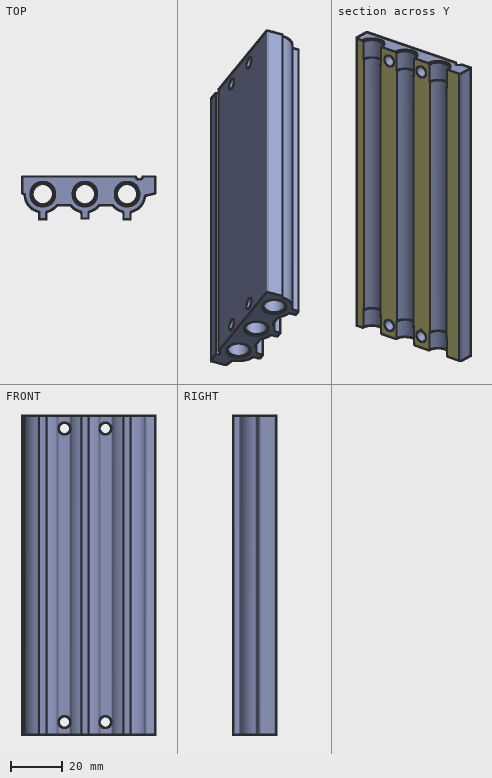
import cadquery as cq

WIDTH = 52.0
DEPTH = 16.8
LENGTH = 124.5

FIRST_BORE_X = 8.1
BORE_PITCH = 16.4
BORE_COUNT = 3
BORE_Y = -7.0
BORE_DIAMETER = 8.0
MOUTH_DIAMETER = 8.6
MOUTH_DEPTH = 8.0
MOUTH_CHAMFER = 0.5
bore_xs = [FIRST_BORE_X + i * BORE_PITCH for i in range(BORE_COUNT)]
middle_bore_x = bore_xs[BORE_COUNT // 2]

WALL_RADIUS = 7.1
RIB_WIDTH = 2.9
MIDDLE_RIB_SETBACK = 0.2

WEB_FRONT_Y = -11.3
SIDE_FACE_FRONT_Y = -6.7
LEFT_LIP_Y = -7.2
RIGHT_LIP_Y = -7.7
LIP_OVERLAP = 0.2

CORNER_RADIUS = 0.5
INSIDE_RADIUS = 0.5

GROOVE_X = 45.7
GROOVE_Y = 0.1
GROOVE_DIAMETER = 2.7

CROSS_HOLE_DIAMETER = 4.5
CROSS_HOLE_SPACING = 15.9
CROSS_HOLE_END_DISTANCE = 5.0


def bar(x_min, x_max, y_min, y_max):
    """Full-length rectangular bar between the given X and Y limits."""
    block = cq.Workplane("XY").box(x_max - x_min, y_max - y_min, LENGTH, centered=False)
    return block.translate((x_min, y_min, 0))


def rod(x, y, diameter):
    """Full-length round bar along Z."""
    return cq.Workplane("XY", origin=(x, y, 0)).circle(diameter / 2).extrude(LENGTH)


def round_long_edges(body, x_min, x_max, y_min, y_max):
    """Fillet the lengthwise inside corners whose X and Y lie within the given limits."""
    region = cq.selectors.BoxSelector((x_min, y_min, 0), (x_max, y_max, LENGTH))
    corners = body.edges("|Z").edges(region)
    return corners.fillet(INSIDE_RADIUS)


def make_back_plate():
    """Plate behind the bore centres, with rounded outer corners and a sloping lip at each side."""
    outline = [
        (0, 0),
        (WIDTH, 0),
        (WIDTH, SIDE_FACE_FRONT_Y),
        (bore_xs[-1] + WALL_RADIUS - LIP_OVERLAP, RIGHT_LIP_Y),
        (bore_xs[-1], RIGHT_LIP_Y),
        (bore_xs[0], LEFT_LIP_Y),
        (bore_xs[0] - WALL_RADIUS + LIP_OVERLAP, LEFT_LIP_Y),
        (0, SIDE_FACE_FRONT_Y),
    ]
    plate = cq.Workplane("XY").polyline(outline).close().extrude(LENGTH)
    return plate.faces("<X or >X").edges("|Z").fillet(CORNER_RADIUS)


def make_ribbed_wall(x, rib_front_y):
    """Half-round wall in front of one bore axis with its rib, blended where the two meet."""
    front_half = bar(x - WALL_RADIUS, x + WALL_RADIUS, -DEPTH, BORE_Y)
    rib = bar(x - RIB_WIDTH / 2, x + RIB_WIDTH / 2, rib_front_y, BORE_Y)
    wall = rod(x, BORE_Y, 2 * WALL_RADIUS).intersect(front_half).union(rib)
    return round_long_edges(wall, x - RIB_WIDTH, x + RIB_WIDTH, BORE_Y - WALL_RADIUS, WEB_FRONT_Y)


def make_body():
    """Back plate, webs and ribbed walls joined, with their inside corners rounded."""
    body = make_back_plate().union(bar(bore_xs[0], bore_xs[-1], WEB_FRONT_Y, BORE_Y))
    for x in bore_xs:
        setback = MIDDLE_RIB_SETBACK if x == middle_bore_x else 0
        body = body.union(make_ribbed_wall(x, -DEPTH + setback))
    web_margin = INSIDE_RADIUS / 2
    body = round_long_edges(
        body, bore_xs[0], bore_xs[-1], WEB_FRONT_Y - web_margin, WEB_FRONT_Y + web_margin
    )
    right_wall_x = bore_xs[-1] + WALL_RADIUS
    body = round_long_edges(
        body, right_wall_x - LIP_OVERLAP, right_wall_x + LIP_OVERLAP, RIGHT_LIP_Y, BORE_Y
    )
    return body


def make_bore(x):
    """Cutting tool for one bore with a wider, chamfered mouth at each end."""
    mouth_radius = MOUTH_DIAMETER / 2
    mouth_profile = [
        (0, 0),
        (mouth_radius + MOUTH_CHAMFER, 0),
        (mouth_radius, MOUTH_CHAMFER),
        (mouth_radius, MOUTH_DEPTH),
        (0, MOUTH_DEPTH),
    ]
    mouth = cq.Workplane("XZ").polyline(mouth_profile).close().revolve(360, (0, 0), (0, 1))
    bottom_mouth = mouth.translate((x, BORE_Y, 0))
    top_mouth = mouth.mirror("XY").translate((x, BORE_Y, LENGTH))
    return rod(x, BORE_Y, BORE_DIAMETER).union(bottom_mouth).union(top_mouth)


def make_cross_hole(x, z):
    """Cutting tool for one hole through the full depth along Y."""
    return cq.Workplane("XZ", origin=(x, 0, z)).circle(CROSS_HOLE_DIAMETER / 2).extrude(DEPTH)


result = make_body()
for x in bore_xs:
    result = result.cut(make_bore(x))
result = result.cut(rod(GROOVE_X, GROOVE_Y, GROOVE_DIAMETER))
for x_offset in (-CROSS_HOLE_SPACING / 2, CROSS_HOLE_SPACING / 2):
    for z in (CROSS_HOLE_END_DISTANCE, LENGTH - CROSS_HOLE_END_DISTANCE):
        result = result.cut(make_cross_hole(middle_bore_x + x_offset, z))